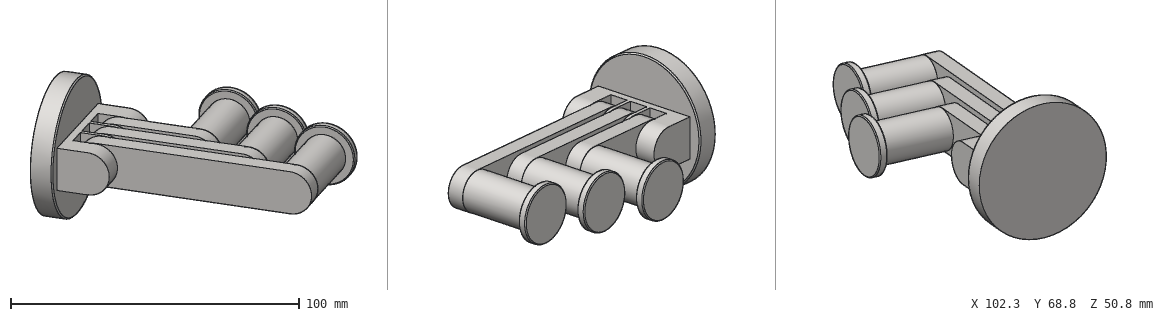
import cadquery as cq

plate_diameter = 50.8
plate_thickness = 8.2
plate_edge_chamfer = 0.5

bar_radius = 8.0
pivot_x = 19.5
block_width = 41.6

arm_thickness = 6.5
arm_pitch = 8.9
slot_clearance = 0.4
slot_width = arm_thickness + 2 * slot_clearance
slot_back_x = pivot_x - bar_radius - slot_clearance
washer_radius = 6.3

overall_length = 102.3
overall_depth = 68.8
post_pitch = 21.0
post_radius = 7.9
cap_radius = 11.1
cap_thickness = 3.2
cap_edge_chamfer = 0.4
longest_post_x = overall_length - cap_radius
post_length = overall_depth - plate_diameter / 2 - arm_pitch - arm_thickness / 2 - cap_thickness


def cylinder_along_y(x, y_start, radius, length):
    """Cylinder on the plane Z = 0, running from y_start toward +Y."""
    base = cq.Workplane("XZ", origin=(x, y_start, 0))
    return base.circle(radius).extrude(-length)


def box_between(x_start, x_end, y_center, width):
    """Bar of the common height between two X positions."""
    size = (x_end - x_start, width, 2 * bar_radius)
    return cq.Workplane("XY").box(*size).translate(((x_start + x_end) / 2, y_center, 0))


def make_plate():
    disc = cq.Workplane("YZ").circle(plate_diameter / 2).extrude(plate_thickness)
    return disc.faces(">X").edges().chamfer(plate_edge_chamfer)


def make_block(slot_centers):
    block = box_between(plate_thickness, pivot_x, 0, block_width)
    block = block.union(cylinder_along_y(pivot_x, -block_width / 2, bar_radius, block_width))
    for y in slot_centers:
        block = block.cut(box_between(slot_back_x, pivot_x + bar_radius, y, slot_width))
    return block


def make_arm(y, post_x):
    """Round-ended arm with its pivot washers, post and cap."""
    arm_start = y - arm_thickness / 2
    arm_end = y + arm_thickness / 2
    arm = box_between(pivot_x, post_x, y, arm_thickness)
    for x in (pivot_x, post_x):
        arm = arm.union(cylinder_along_y(x, arm_start, bar_radius, arm_thickness))

    washers = cylinder_along_y(pivot_x, y - slot_width / 2, washer_radius, slot_width)
    post = cylinder_along_y(post_x, arm_end, post_radius, post_length)
    cap = cylinder_along_y(post_x, arm_end + post_length, cap_radius, cap_thickness)
    cap = cap.edges("%CIRCLE").chamfer(cap_edge_chamfer)
    return arm.union(washers).union(post).union(cap)


arm_centers = [-arm_pitch, 0, arm_pitch]
result = make_plate().union(make_block(arm_centers))
for index, arm_y in enumerate(arm_centers):
    result = result.union(make_arm(arm_y, longest_post_x - index * post_pitch))